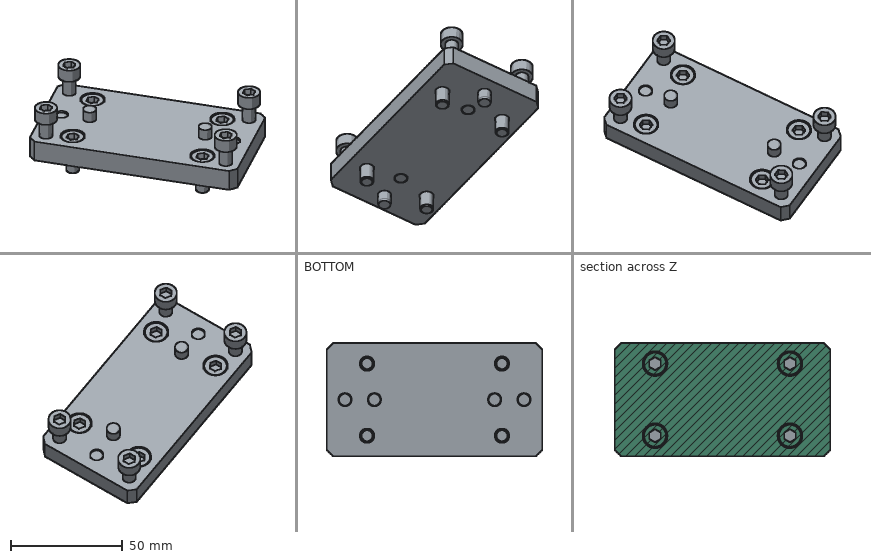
import cadquery as cq
import math

plate_length = 97.0
plate_width = 51.0
plate_thickness = 10.0
corner_chamfer = 3.0

thread_diameter = 6.0
thread_core_diameter = 4.92
head_diameter = 10.0
head_height = 6.0
screw_length = 12.0
socket_across_flats = 5.0
socket_depth = 3.0

sunk_screw_x = 30.3
sunk_screw_y = 16.2
counterbore_diameter = 11.0
counterbore_depth = 6.3
clearance_diameter = 6.5

corner_screw_x = 42.0
corner_screw_y = 19.0
corner_head_seat_z = 8.6

pin_diameter = 6.0
pin_length = 16.1
pin_dome_height = 1.0
pin_taper_length = 1.2
pin_taper_angle = 15.0
raised_pin_x = 27.0
raised_pin_top_z = 6.1
flush_pin_x = 40.2
flush_pin_top_z = 0.1


def mirrored(x, y):
    """Four points, one in each quadrant."""
    return [(sx * x, sy * y) for sx in (-1, 1) for sy in (-1, 1)]


def paired(x):
    """Two points on the X axis, one on each side of the origin."""
    return [(-x, 0), (x, 0)]


def make_plate():
    plate = cq.Workplane("XY").box(
        plate_length, plate_width, plate_thickness, centered=(True, True, False)
    )
    plate = plate.translate((0, 0, -plate_thickness))
    return plate.edges("|Z").chamfer(corner_chamfer)


def cut_screw_holes(plate):
    """Counterbored clearance holes for the sunk screws."""
    return (
        plate.faces(">Z")
        .workplane(origin=(0, 0, 0))
        .pushPoints(mirrored(sunk_screw_x, sunk_screw_y))
        .cboreHole(clearance_diameter, counterbore_diameter, counterbore_depth)
    )


def cut_pin_holes(plate):
    """Through holes that hold the dowel pins."""
    points = paired(raised_pin_x) + paired(flush_pin_x)
    return plate.faces(">Z").workplane(origin=(0, 0, 0)).pushPoints(points).hole(pin_diameter)


def make_screw():
    """Cap screw with its head seat on Z = 0 and its tip pointing down."""
    tip_chamfer = (thread_diameter - thread_core_diameter) / 2
    head = cq.Workplane("XY").circle(head_diameter / 2).extrude(head_height)
    socket = (
        cq.Workplane("XY", origin=(0, 0, head_height))
        .polygon(6, socket_across_flats, circumscribed=True)
        .extrude(-socket_depth)
    )
    shank = (
        cq.Workplane("XY")
        .circle(thread_diameter / 2)
        .extrude(-screw_length)
        .faces("<Z")
        .chamfer(tip_chamfer)
    )
    return head.cut(socket).union(shank)


def make_pin():
    """Dowel pin with the top of its dome on Z = 0 and a tapered lower end."""
    radius = pin_diameter / 2
    dome_radius = (radius**2 + pin_dome_height**2) / (2 * pin_dome_height)
    end_radius = radius - pin_taper_length * math.tan(math.radians(pin_taper_angle))
    return (
        cq.Workplane("XZ")
        .moveTo(0, -pin_length)
        .lineTo(end_radius, -pin_length)
        .lineTo(radius, pin_taper_length - pin_length)
        .lineTo(radius, -pin_dome_height)
        .radiusArc((0, 0), -dome_radius)
        .close()
        .revolve(360, (0, 0, 0), (0, 1, 0))
    )


def add_copies(body, item, points, z):
    """Join a copy of the item at each point, raised to the height z."""
    for x, y in points:
        body = body.union(item.translate((x, y, z)))
    return body


screw = make_screw()
pin = make_pin()

result = cut_pin_holes(cut_screw_holes(make_plate()))
result = add_copies(result, screw, mirrored(sunk_screw_x, sunk_screw_y), -counterbore_depth)
result = add_copies(result, screw, mirrored(corner_screw_x, corner_screw_y), corner_head_seat_z)
result = add_copies(result, pin, paired(raised_pin_x), raised_pin_top_z)
result = add_copies(result, pin, paired(flush_pin_x), flush_pin_top_z)